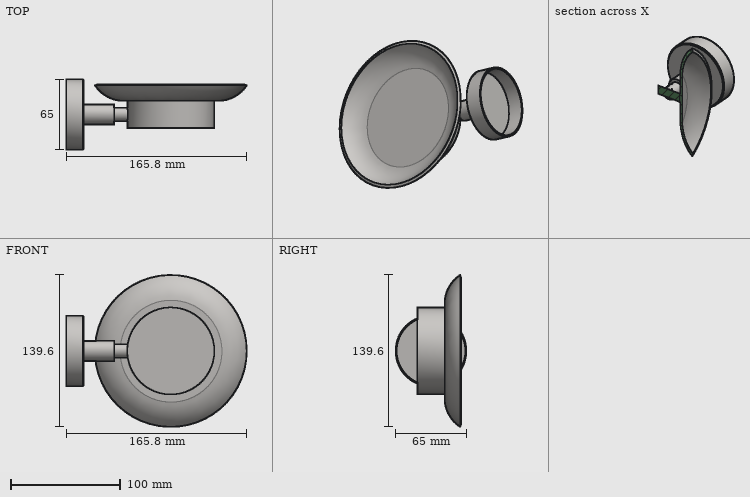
import cadquery as cq
import math

overall_length = 165.8

flange_radius = 32.5
flange_depth = 16.0
flange_mouth_wall = 1.5
flange_base_wall = 2.0
flange_floor = 2.0
flange_chamfer = 1.0

sleeve_radius = 9.3
sleeve_end = 44.1
neck_radius = 6.3

dish_radius = 69.8
dish_height = 15.3
dish_wall = 3.0
dish_base_radius = 46.8
dish_bulge = 3.0
rim_width = 3.0
rim_rise = 1.0

holder_radius = 40.0
holder_height = 25.0
holder_x = overall_length - dish_radius
holder_top = holder_height / 2


def bowed_midpoint(start, end, bulge):
    """Middle of an arc that bows out to the right of the line from start to end."""
    run = end[0] - start[0]
    rise = end[1] - start[1]
    chord = math.hypot(run, rise)
    return (
        (start[0] + end[0]) / 2 + bulge * rise / chord,
        (start[1] + end[1]) / 2 - bulge * run / chord,
    )


def make_flange():
    cup = (
        cq.Workplane("YZ")
        .circle(flange_radius)
        .extrude(flange_depth)
        .faces(">X")
        .chamfer(flange_chamfer)
    )
    tapered_cavity = cq.Solid.makeCone(
        flange_radius - flange_mouth_wall,
        flange_radius - flange_base_wall,
        flange_depth - flange_floor,
        dir=cq.Vector(1, 0, 0),
    )
    return cup.cut(cq.Workplane(tapered_cavity))


def make_holder():
    return (
        cq.Workplane("XZ", origin=(holder_x, holder_top, 0))
        .circle(holder_radius)
        .extrude(holder_height)
    )


def make_stem(holder):
    sleeve = (
        cq.Workplane("YZ", origin=(flange_depth, 0, 0))
        .circle(sleeve_radius)
        .extrude(sleeve_end - flange_depth)
    )
    neck = (
        cq.Workplane("YZ", origin=(sleeve_end, 0, 0))
        .circle(neck_radius)
        .extrude(holder_x - sleeve_end)
    )
    return sleeve.union(neck.cut(holder))


def make_dish():
    outer_base = (dish_base_radius, 0)
    outer_rim = (dish_radius, dish_height - rim_rise)
    inner_rim = (dish_radius - rim_width, dish_height)
    inner_base = (dish_base_radius, dish_wall)
    inner_bulge = dish_bulge * math.dist(inner_base, inner_rim) / math.dist(outer_base, outer_rim)
    return (
        cq.Workplane("XY", origin=(holder_x, holder_top, 0))
        .lineTo(*outer_base)
        .threePointArc(bowed_midpoint(outer_base, outer_rim, dish_bulge), outer_rim)
        .lineTo(*inner_rim)
        .threePointArc(bowed_midpoint(inner_base, inner_rim, inner_bulge), inner_base)
        .lineTo(0, dish_wall)
        .close()
        .revolve(360, (0, 0, 0), (0, 1, 0))
    )


flange = make_flange()
holder = make_holder()
stem = make_stem(holder)
dish = make_dish()

result = cq.Compound.makeCompound([flange.val(), stem.val(), holder.val(), dish.val()])